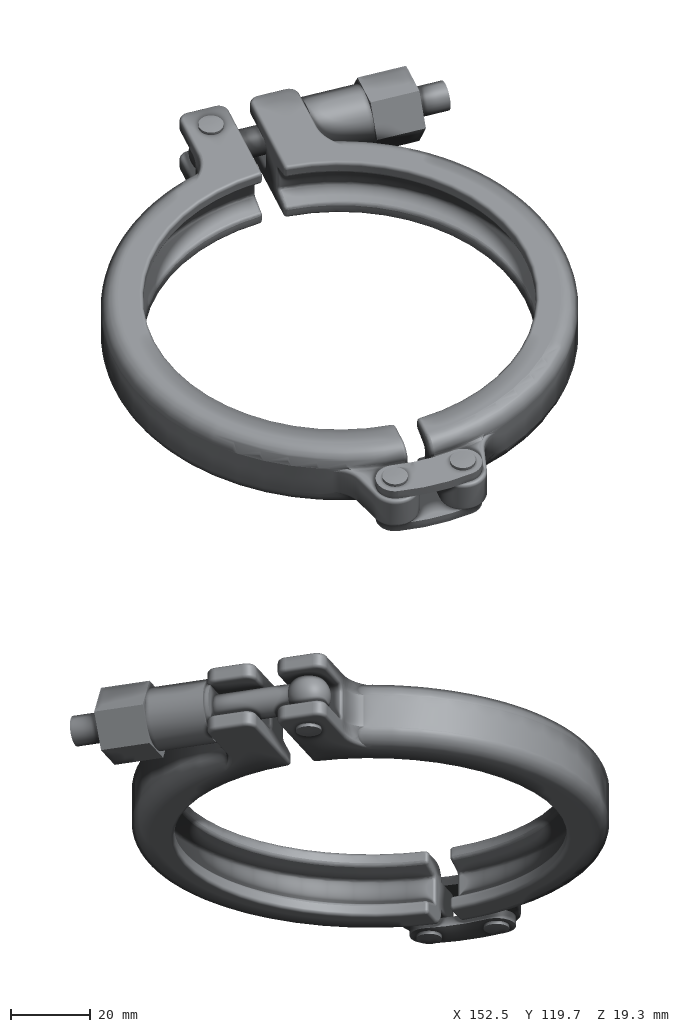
import cadquery as cq
import math


overall_length = 152.5

ring_diameter = 119.7
ring_radius = ring_diameter / 2
bore_radius = 49.2
ring_height = 17.2
half_height = ring_height / 2
ring_round = 4.3
edge_round = 0.9
half_gap = 2.9
flat_radius = ring_radius - ring_round
groove_radius = 54.9
groove_mouth_half = 5.2
groove_floor_half = 3.5

lug_left = -77.1
lug_side = 15.9
lug_corner_radius = 2.7
lug_waist_blend = 6.9
lug_rim_blend = 12.2
lug_root_radius = 52.3
lug_root_angle = 155.0
lug_sink = 0.2
bolt_slot_end = -63.5
bolt_slot_half = 4.4
slot_corner_radius = 1.5

bolt_x = -69.8
bolt_diameter = 7.8
bolt_tip = 53.0
bolt_pin_y = -9.3
eye_radius = 5.6
eye_half = 4.1
nose_radius = 7.3
nose_start = 14.8
collar_radius = 8.1
collar_start = 16.0
collar_end = 31.4
hex_across_corners = 19.7
hex_end = 44.4

hinge_y = 9.0
hinge_lug_radius = hinge_y - half_gap
hinge_x = bolt_x - hex_across_corners / 2 + overall_length - hinge_lug_radius
hinge_lug_half = half_height - ring_round
hinge_flank_angle = 15.0
hinge_blend_radius = 7.6
hinge_lug_root = 55.8
link_end_radius = 4.9
link_curve_radius = 48.8
link_thickness = 2.5
link_top = hinge_lug_half + link_thickness

pin_radius = 3.2
head_height = 0.84
dome_height = 0.23

tolerance = 0.02


def tangent_blend(normal, distance, radius, round_radius):
    """Concave arc from the line normal.p = distance to a circle about the origin.

    Returns its end on the line, its middle and its end on the circle. The arc lies
    on the side of the circle to which the normal leans; an upright normal means -X.
    """
    nx, ny = normal
    side = 1 if nx > 0 else -1
    along = side * math.sqrt((round_radius + radius) ** 2 - (distance + radius) ** 2)
    cx = nx * (distance + radius) + ny * along
    cy = ny * (distance + radius) - nx * along
    on_line = (cx - nx * radius, cy - ny * radius)
    shrink = round_radius / (round_radius + radius)
    on_circle = (cx * shrink, cy * shrink)
    chord_x = (on_line[0] + on_circle[0]) / 2 - cx
    chord_y = (on_line[1] + on_circle[1]) / 2 - cy
    stretch = radius / math.hypot(chord_x, chord_y)
    middle = (cx + chord_x * stretch, cy + chord_y * stretch)
    return on_line, middle, on_circle


def polar(radius, angle):
    turn = math.radians(angle)
    return radius * math.cos(turn), radius * math.sin(turn)


def prism(outline, half):
    return outline.extrude(half, both=True)


def ring_half():
    """Solid half ring with rounded rims, before the groove is cut."""
    ring = cq.Workplane("XY").circle(ring_radius).circle(bore_radius)
    ring = prism(ring, half_height)
    outer_rims = cq.selectors.RadiusNthSelector(-1)
    inner_rims = cq.selectors.RadiusNthSelector(0)
    ring = ring.faces("|Z").edges(outer_rims).fillet(ring_round)
    ring = ring.faces("|Z").edges(inner_rims).fillet(edge_round)
    size = 2 * ring_radius
    keep = cq.Workplane("XY").box(2 * size, size, size).translate((0, half_gap + size / 2, 0))
    return ring.intersect(keep).faces("<Y").edges("|X").fillet(edge_round)


def groove():
    """Ring of the V-shaped channel that grips the pipe flanges."""
    depth = groove_radius - bore_radius
    start = bore_radius - depth
    start_half = 2 * groove_mouth_half - groove_floor_half
    section = cq.Workplane("XZ").polyline([
        (start, -start_half), (groove_radius, -groove_floor_half),
        (groove_radius, groove_floor_half), (start, start_half),
    ]).close()
    channel = section.revolve(360, (0, 0), (0, 1))
    floor_rims = cq.selectors.RadiusNthSelector(-1)
    return channel.edges("%CIRCLE").edges(floor_rims).fillet(edge_round)


def lug_outline(height, blend_radius, round_radius):
    """Closing lug outline at a height, blending into the ring at the given radius."""
    on_line, middle, on_circle = tangent_blend((0, 1), lug_side, blend_radius, round_radius)
    root_x = -math.sqrt(lug_root_radius ** 2 - half_gap ** 2)
    return (
        cq.Workplane("XY").workplane(offset=height).moveTo(root_x, half_gap)
        .lineTo(lug_left, half_gap).lineTo(lug_left, lug_side).lineTo(*on_line)
        .threePointArc(middle, on_circle).lineTo(*polar(lug_root_radius, lug_root_angle)).close()
    )


def closing_lug():
    """Slotted lug whose blend leans back from the ring's wall to its flat faces."""
    waist = half_height - ring_round
    lug = prism(lug_outline(0, lug_waist_blend, ring_radius - lug_sink), waist)
    lower_wire = lug_outline(waist, lug_waist_blend, ring_radius - lug_sink).val()
    upper_wire = lug_outline(half_height, lug_rim_blend, flat_radius - lug_sink).val()
    cheek = cq.Workplane(cq.Solid.makeLoft([lower_wire, upper_wire], True))
    lug = lug.union(cheek).union(cheek.mirror("XY")).clean()
    lug = lug.edges("|Z and <X").fillet(lug_corner_radius)
    lug = lug.faces("<Z or >Z").edges().fillet(edge_round)
    lug = lug.cut(bolt_slot())
    return lug.edges(cq.selectors.BoxSelector(*slot_mouth())).fillet(edge_round)


def bolt_slot():
    """Cut in the closing lug, open towards -X, for the bolt to swing out."""
    length = bolt_slot_end - lug_left + 2 * slot_corner_radius
    slot = cq.Workplane("XY").box(length, 4 * lug_side, 2 * bolt_slot_half)
    slot = slot.translate((bolt_slot_end - length / 2, 0, 0))
    return slot.edges("|Y and >X").fillet(slot_corner_radius)


def slot_mouth():
    """Opposite corners of a box around the mouth edges of the bolt slot."""
    reach = bolt_slot_half + tolerance
    near = (lug_left - tolerance, half_gap - tolerance, -reach)
    far = (bolt_slot_end + tolerance, lug_side + tolerance, reach)
    return near, far


def hinge_lug_outline():
    slope = math.radians(hinge_flank_angle)
    normal = (math.sin(slope), math.cos(slope))
    distance = normal[0] * hinge_x + normal[1] * hinge_y + hinge_lug_radius
    on_line, middle, on_ring = tangent_blend(normal, distance, hinge_blend_radius, ring_radius)
    flank_end = (hinge_x + normal[0] * hinge_lug_radius, hinge_y + normal[1] * hinge_lug_radius)
    return (
        cq.Workplane("XY").moveTo(hinge_lug_root, half_gap).lineTo(hinge_x, half_gap)
        .threePointArc((hinge_x + hinge_lug_radius, hinge_y), flank_end)
        .lineTo(*on_line).threePointArc(middle, on_ring).close()
    )


def hinge_lug():
    return prism(hinge_lug_outline(), hinge_lug_half).faces("|Z").edges().fillet(edge_round)


def hinge_lug_fillet():
    """Small concave fillets between the faces of the hinge lug and the rims of the ring."""
    reach = math.sqrt((ring_round + edge_round) ** 2 - edge_round ** 2)
    touch = ring_round / (ring_round + edge_round)
    outer = flat_radius + reach
    on_rim = (flat_radius + reach * touch, hinge_lug_half + edge_round * touch)
    middle_angle = (math.atan2(edge_round, reach) + math.pi / 2) / 2
    middle = (outer - edge_round * math.cos(middle_angle),
              hinge_lug_half + edge_round * (1 - math.sin(middle_angle)))
    inner = flat_radius + ring_round / 2
    section = (
        cq.Workplane("XZ").moveTo(inner, 0).lineTo(outer, 0)
        .lineTo(outer, hinge_lug_half).threePointArc(middle, on_rim)
        .lineTo(inner, hinge_lug_half).close()
    )
    fillet = section.revolve(360, (0, 0), (0, 1))
    within = prism(hinge_lug_outline().offset2D(-edge_round), half_height)
    fillet = fillet.intersect(within)
    return fillet.union(fillet.mirror("XY"))


def is_groove_edge(edge):
    """Lips of the groove and the outline of the groove on the parting face."""
    place = edge.Center()
    within = abs(place.z) < groove_mouth_half + tolerance and abs(place.x) < groove_radius + tolerance
    on_end = abs(place.y - half_gap) < tolerance and within
    is_lip = edge.geomType() == "CIRCLE" and abs(edge.radius() - bore_radius) < tolerance and within
    return on_end or is_lip


def clamp_half():
    """Half clamp on the +Y side, without pin holes."""
    half = ring_half()
    for lug in (closing_lug(), hinge_lug(), hinge_lug_fillet()):
        half = half.union(lug, clean=False)
    half = half.cut(groove(), clean=False)
    return half.edges().filter(is_groove_edge).fillet(edge_round)


def pin(x, y, seat):
    """Pin along Z whose low domed heads stand on faces at z = seat and z = -seat."""
    rim = seat + head_height
    top = rim + dome_height
    dome_radius = (pin_radius ** 2 + dome_height ** 2) / (2 * dome_height)
    mid_x = pin_radius / 2
    mid_z = top - dome_radius + math.sqrt(dome_radius ** 2 - mid_x ** 2)
    section = (
        cq.Workplane("XZ").moveTo(0, -top).threePointArc((mid_x, -mid_z), (pin_radius, -rim))
        .lineTo(pin_radius, rim).threePointArc((mid_x, mid_z), (0, top)).close()
    )
    return section.revolve(360, (0, 0), (0, 1)).translate((x, y, 0))


def link_plate():
    """Curved plate above the hinge lugs, rounded about both hinge pins."""
    angle = math.degrees(math.asin(hinge_y / link_curve_radius))
    centre_x = hinge_x - math.sqrt(link_curve_radius ** 2 - hinge_y ** 2)
    inner = link_curve_radius - link_end_radius
    outer = link_curve_radius + link_end_radius
    tip_x, tip_y = polar(link_end_radius, angle + 90)
    cap = (hinge_x - centre_x + tip_x, hinge_y + tip_y)
    plate = (
        cq.Workplane("XY").moveTo(*polar(inner, -angle))
        .threePointArc((inner, 0), polar(inner, angle))
        .threePointArc(cap, polar(outer, angle))
        .threePointArc((outer, 0), polar(outer, -angle))
        .threePointArc((cap[0], -cap[1]), polar(inner, -angle)).close()
        .extrude(link_thickness)
    )
    return plate.translate((centre_x, 0, hinge_lug_half))


def hinge_pin(side):
    return pin(hinge_x, side * hinge_y, link_top)


def make_upper_half():
    return clamp_half().cut(hinge_pin(1)).cut(collar_nose())


def make_lower_half():
    """Mirrored half joined with both link plates and the two hinge pins."""
    half = clamp_half().mirror("XZ").cut(bolt_pin())
    plate = link_plate()
    half = half.union(plate).union(plate.mirror("XY"))
    for side in (1, -1):
        half = half.union(hinge_pin(side))
    return half


def bolt_pin():
    return pin(bolt_x, bolt_pin_y, half_height)


def along_bolt(start):
    """Workplane across the bolt at y = start, with its normal along -Y."""
    return cq.Workplane("XZ", origin=(bolt_x, start, 0))


def collar_nose():
    return along_bolt(nose_start).circle(nose_radius).extrude(nose_start - collar_start)


def make_swing_bolt():
    shank = along_bolt(bolt_pin_y).circle(bolt_diameter / 2).extrude(bolt_pin_y - bolt_tip)
    collar = along_bolt(collar_start).circle(collar_radius).extrude(collar_start - collar_end)
    nut = along_bolt(collar_end).polygon(6, hex_across_corners).extrude(collar_end - hex_end)
    eye = cq.Workplane("XY").sphere(eye_radius)
    eye = eye.intersect(cq.Workplane("XY").box(3 * eye_radius, 3 * eye_radius, 2 * eye_half))
    eye = eye.translate((bolt_x, bolt_pin_y, 0))
    return shank.union(collar_nose()).union(collar).union(nut).union(eye).union(bolt_pin())


upper_half = make_upper_half()
lower_half = make_lower_half()
swing_bolt = make_swing_bolt()

result = cq.Compound.makeCompound([
    upper_half.solids().val(),
    lower_half.solids().val(),
    swing_bolt.solids().val(),
])